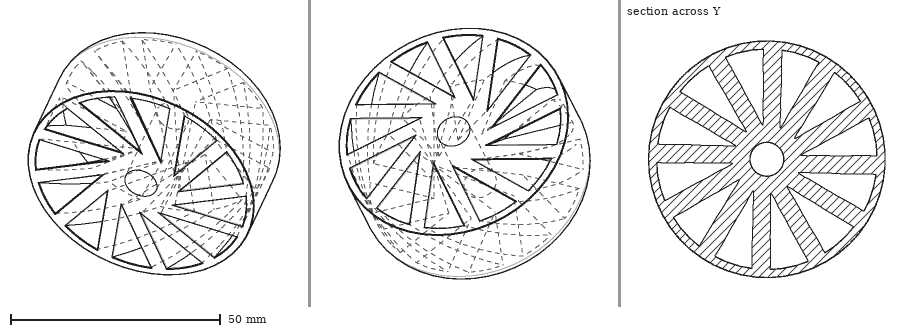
import cadquery as cq
import math

wheel_radius = 28.25
wheel_width = 25.4
back_fillet = 5.0
bore_diameter = 8.0
edge_chamfer = 0.15

pocket_count = 12
pocket_depth = 22.0
rim_thickness = 2.0
spoke_width = 4.0
spoke_offset = 5.7

floor_spoke_width = 5.1
floor_spoke_offset = -spoke_offset

pocket_step = 360.0 / pocket_count
mouth_spoke_angle = 90.0 - pocket_step / 4
floor_spoke_angle = 90.0 + pocket_step / 4
pocket_radius = wheel_radius - rim_thickness
spoke_reach = 1.1 * wheel_radius


def point_on_edge(offset, direction, distance):
    """Point at a distance along a line that passes the axis on its left, at the given offset."""
    angle = math.radians(direction)
    return (
        distance * math.cos(angle) + offset * math.sin(angle),
        distance * math.sin(angle) - offset * math.cos(angle),
    )


def wedge_outline(offset, width, direction):
    """Corners of the triangle between the facing edges of two neighbouring spokes."""
    right_offset = offset - width / 2
    left_offset = offset + width / 2
    step = math.radians(pocket_step)
    tip_distance = (left_offset - right_offset * math.cos(step)) / math.sin(step)
    return [
        point_on_edge(right_offset, direction, tip_distance),
        point_on_edge(right_offset, direction, spoke_reach),
        point_on_edge(left_offset, direction + pocket_step, spoke_reach),
    ]


def make_wedge(top_outline, bottom_outline, top, bottom):
    """Ruled solid between two triangles, at depths top and bottom below Z = 0."""
    start = cq.Workplane("XY").workplane(offset=-top).polyline(top_outline).close()
    end = start.workplane(offset=top - bottom).polyline(bottom_outline).close()
    return end.loft(ruled=True)


def make_body():
    """Solid wheel with a rounded back edge and a bore along its axis."""
    body = cq.Workplane("XZ").circle(wheel_radius).extrude(-wheel_width)
    body = body.faces(">Y").edges().fillet(back_fillet)
    body = body.faces("<Y").edges().chamfer(edge_chamfer)
    bore = cq.Workplane("XZ").circle(bore_diameter / 2).extrude(-wheel_width)
    return body.cut(bore)


def make_pocket():
    """Leaning pocket with a chamfered mouth, bounded outside by the round rim."""
    widened = wedge_outline(spoke_offset, spoke_width - 2 * edge_chamfer, mouth_spoke_angle)
    mouth = wedge_outline(spoke_offset, spoke_width, mouth_spoke_angle)
    floor = wedge_outline(floor_spoke_offset, floor_spoke_width, floor_spoke_angle)

    rim_bore = cq.Workplane("XY").circle(pocket_radius).extrude(-pocket_depth)
    rim_cone = cq.Workplane("XY").circle(pocket_radius + edge_chamfer).extrude(-edge_chamfer, taper=45)
    chamfer = make_wedge(widened, mouth, 0, edge_chamfer).intersect(rim_cone)
    shaft = make_wedge(mouth, floor, edge_chamfer, pocket_depth).intersect(rim_bore)
    return chamfer.union(shaft).rotate((0, 0, 0), (1, 0, 0), 90)


result = make_body()
pocket = make_pocket()
for index in range(pocket_count):
    result = result.cut(pocket.rotate((0, 0, 0), (0, 1, 0), index * pocket_step))